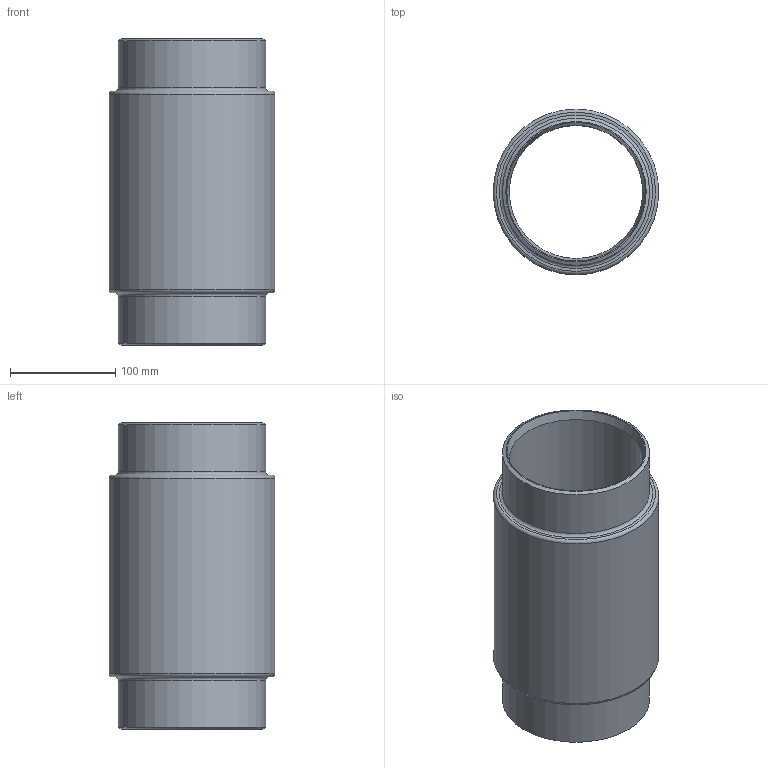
import cadquery as cq

total_length = 292.0
body_diameter = 157.5
neck_diameter = 140.0
bore_diameter = 127.0

neck_length = 50.0
shoulder_radius = 3.0
rim_chamfer_width = 3.2
rim_chamfer_height = 1.85
mouth_diameter = 131.8
mouth_depth = 8.7

body_radius = body_diameter / 2
neck_radius = neck_diameter / 2
bore_radius = bore_diameter / 2
mouth_radius = mouth_diameter / 2
rim_radius = neck_radius - rim_chamfer_width

rim_height = total_length / 2
chamfer_start = rim_height - rim_chamfer_height
mouth_bottom = rim_height - mouth_depth
shoulder_height = rim_height - neck_length
neck_start = shoulder_height + shoulder_radius
body_end = shoulder_height - shoulder_radius

shoulder_outer = body_radius - shoulder_radius
shoulder_inner = neck_radius + shoulder_radius


def wall_profile():
    """Closed section of the wall in the XZ plane, starting at the lower mouth bottom."""
    return (
        cq.Workplane("XZ")
        .moveTo(bore_radius, -mouth_bottom)
        .lineTo(mouth_radius, -rim_height)
        .lineTo(rim_radius, -rim_height)
        .lineTo(neck_radius, -chamfer_start)
        .lineTo(neck_radius, -neck_start)
        .radiusArc((shoulder_inner, -shoulder_height), shoulder_radius)
        .lineTo(shoulder_outer, -shoulder_height)
        .radiusArc((body_radius, -body_end), -shoulder_radius)
        .lineTo(body_radius, body_end)
        .radiusArc((shoulder_outer, shoulder_height), -shoulder_radius)
        .lineTo(shoulder_inner, shoulder_height)
        .radiusArc((neck_radius, neck_start), shoulder_radius)
        .lineTo(neck_radius, chamfer_start)
        .lineTo(rim_radius, rim_height)
        .lineTo(mouth_radius, rim_height)
        .lineTo(bore_radius, mouth_bottom)
        .close()
    )


axis_start = (0, 0, 0)
axis_end = (0, 1, 0)
result = wall_profile().revolve(360, axis_start, axis_end)